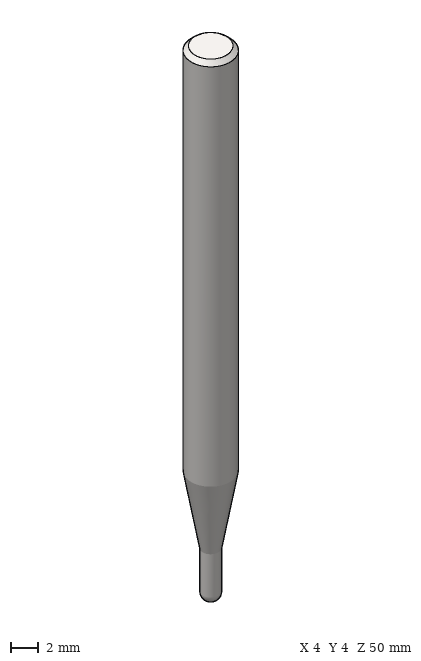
import cadquery as cq

total_length = 50.0
shank_radius = 2.0
shank_chamfer = 0.4
neck_radius = 0.8
ball_radius = neck_radius
neck_top = 4.7
taper_top = 11.7

ball_flank = ball_radius * 0.5**0.5

profile = (
    cq.Workplane("XZ")
    .moveTo(0, 0)
    .threePointArc((ball_flank, ball_radius - ball_flank), (ball_radius, ball_radius))
    .lineTo(neck_radius, neck_top)
    .lineTo(shank_radius, taper_top)
    .lineTo(shank_radius, total_length - shank_chamfer)
    .lineTo(shank_radius - shank_chamfer, total_length)
    .lineTo(0, total_length)
    .close()
)

result = profile.revolve(360, (0, 0, 0), (0, 1, 0))